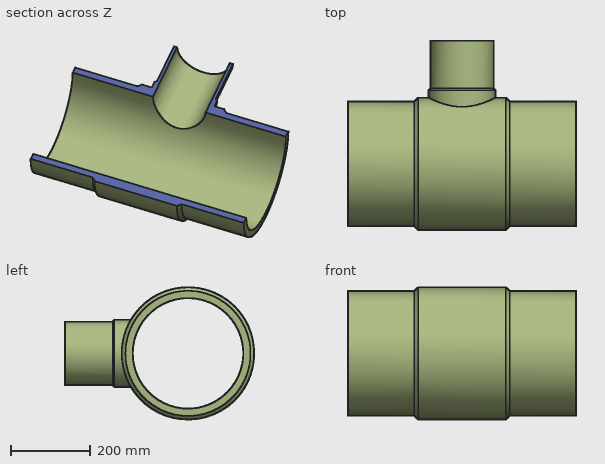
import cadquery as cq

run_length = 575.0
run_diameter = 315.0
run_bore = 277.6

sleeve_diameter = 333.7
sleeve_length = 240.0
sleeve_chamfer = (sleeve_diameter - run_diameter) / 2

overall_depth = 476.85
branch_reach = overall_depth - sleeve_diameter / 2
branch_diameter = 160.0
branch_bore = 141.0

collar_diameter = 169.5
collar_reach = 190.0
collar_chamfer = (collar_diameter - branch_diameter) / 2


def run_cylinder(diameter, length):
    """Cylinder along X, centred on the origin."""
    return cq.Workplane("YZ").circle(diameter / 2).extrude(length / 2, both=True)


def branch_cylinder(diameter, reach):
    """Cylinder from the main axis out to Y = reach."""
    return cq.Workplane("XZ").circle(diameter / 2).extrude(-reach)


def make_run():
    pipe = run_cylinder(run_diameter, run_length)
    sleeve = run_cylinder(sleeve_diameter, sleeve_length).edges().chamfer(sleeve_chamfer)
    return pipe.union(sleeve)


def make_branch():
    pipe = branch_cylinder(branch_diameter, branch_reach)
    collar = branch_cylinder(collar_diameter, collar_reach).faces(">Y").edges().chamfer(collar_chamfer)
    return pipe.union(collar)


body = make_run().union(make_branch())

result = body.cut(run_cylinder(run_bore, run_length)).cut(branch_cylinder(branch_bore, branch_reach))